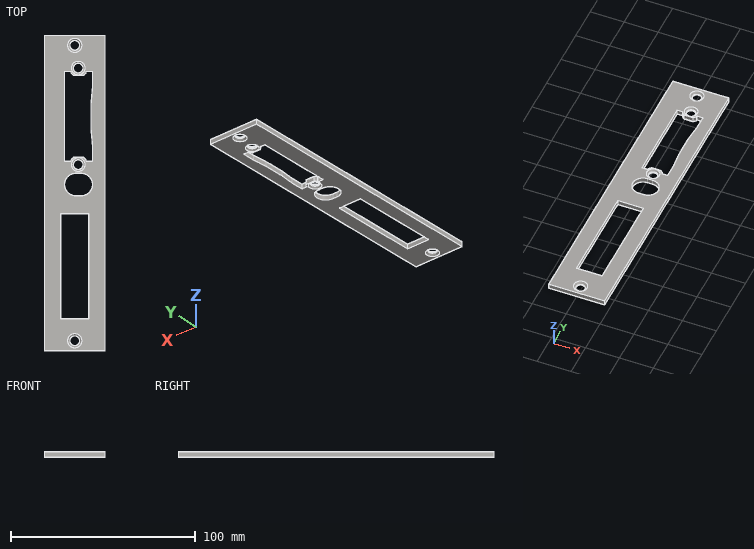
import cadquery as cq
import math

plate_width = 33.0
plate_length = 171
plate_thickness = 3.0

sink_angle = 90
screw_diameter = 5.1
end_sink_diameter = 7.7
end_screw_y = 80.0
lug_sink_diameter = 7.4

upper_x = 2.0
upper_y = 41.5
upper_width = 15.0
upper_length = 48.4
bulge_depth = 0.9
bulge_crest_length = 13.0
bulge_base_length = 32.1
lug_width = 8.2
lug_reach = 2.0
lug_corner_chamfer = 1.4
lug_screw_x = 1.9
lug_screw_spacing = 52.3

oval_height = 12
oval_y = 4.6

lower_width = 15.0
lower_length = 56.8
lower_y = -39.7


def make_plate():
    return cq.Workplane("XY").box(plate_width, plate_length, plate_thickness, centered=(True, True, False))


def make_upper_window():
    """Cutter for the upper window, with the two lugs left standing."""
    right = upper_width / 2
    end = upper_length / 2
    window = (
        cq.Workplane("XY")
        .center(upper_x, upper_y)
        .moveTo(-right, -end)
        .lineTo(right, -end)
        .lineTo(right, -bulge_base_length / 2)
        .lineTo(right - bulge_depth, -bulge_crest_length / 2)
        .lineTo(right - bulge_depth, bulge_crest_length / 2)
        .lineTo(right, bulge_base_length / 2)
        .lineTo(right, end)
        .lineTo(-right, end)
        .close()
        .extrude(plate_thickness)
    )
    lugs = (
        cq.Workplane("XY")
        .pushPoints([(upper_x, upper_y - end), (upper_x, upper_y + end)])
        .rect(lug_width, 2 * lug_reach)
        .extrude(plate_thickness)
        .edges("|Z")
        .chamfer(lug_corner_chamfer)
    )
    return window.cut(lugs)


def make_oval():
    return cq.Workplane("XY").center(upper_x, oval_y).slot2D(upper_width, oval_height).extrude(plate_thickness)


def make_lower_window():
    return cq.Workplane("XY").center(0, lower_y).rect(lower_width, lower_length).extrude(plate_thickness)


def cut_screw_holes(plate, x, y_positions, sink_diameter):
    """Cut holes that narrow from a countersink in each face to a straight middle."""
    sink_depth = (sink_diameter - screw_diameter) / 2 / math.tan(math.radians(sink_angle / 2))
    half_section = (
        cq.Workplane("XZ")
        .lineTo(sink_diameter / 2, 0)
        .lineTo(screw_diameter / 2, sink_depth)
        .lineTo(screw_diameter / 2, plate_thickness - sink_depth)
        .lineTo(sink_diameter / 2, plate_thickness)
        .lineTo(0, plate_thickness)
        .close()
    )
    cutter = half_section.revolve(360, (0, 0, 0), (0, 1, 0))
    for y in y_positions:
        plate = plate.cut(cutter.translate((x, y, 0)))
    return plate


plate = make_plate().cut(make_upper_window()).cut(make_oval()).cut(make_lower_window())
plate = cut_screw_holes(plate, 0, [-end_screw_y, end_screw_y], end_sink_diameter)
lug_screw_ys = [upper_y - lug_screw_spacing / 2, upper_y + lug_screw_spacing / 2]
result = cut_screw_holes(plate, lug_screw_x, lug_screw_ys, lug_sink_diameter)